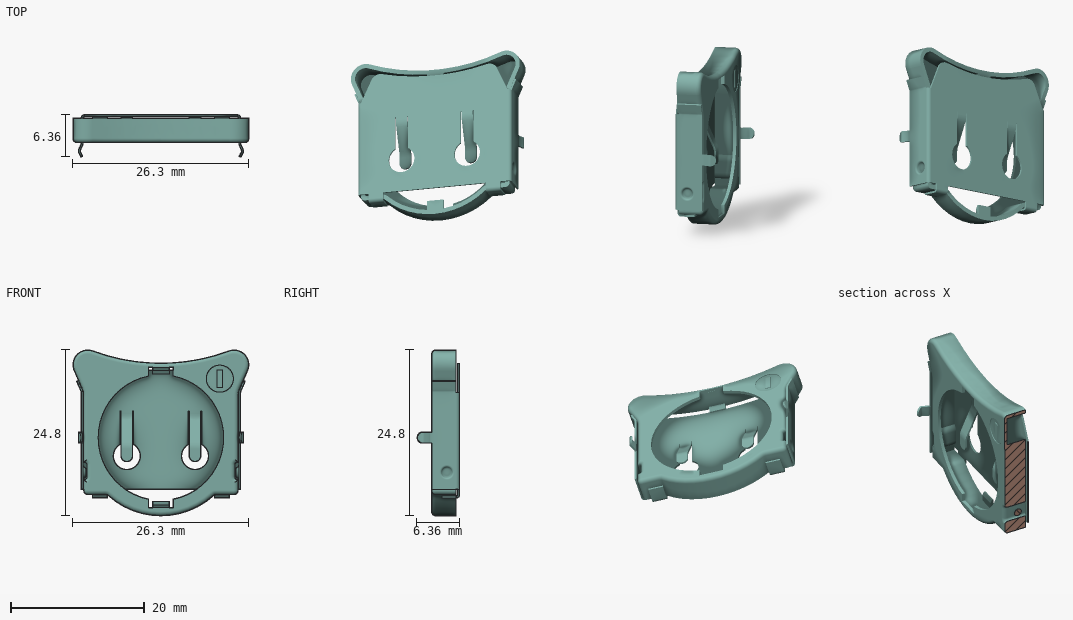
import cadquery as cq
import math


depth = 3.65
wall = 0.65
face_thickness = 0.5
edge_round = 0.6
half_width = 11.55
foot_z = -8.52
belly_radius = 11.7
saddle_z = 11.12
ear_half_span = 13.15
ear_top = 13.1
ear_radius = 2.2
ear_x = ear_half_span - ear_radius
ear_z = ear_top - ear_radius
ear_angle = 23.5
neck_radius = 3.0

cell_hole_radius = 9.39
window_width = 3.65
window_top = 10.5

hook_width = 2.5
hook_thickness = 0.5
hook_tip = 9.55
hook_bevel = 0.5
hook_land = 0.24

pocket_z = -5
pocket_height = 2.58
pocket_depth = 0.5
pocket_round = 0.4

badge_x = 8.8
badge_z = 8.8
badge_radius = 2.02
badge_depth = 0.1
bar_width = 0.81
bar_height = 2.58

sheet = 0.3
clip_gap = 0.24
clip_side = 11.94
side_bend = 0.37
clip_bottom = -7.73
clip_shoulder = 6.75

plate_saddle_z = 10.05
plate_ear_radius = 1.42
plate_ear_x = 8.5
plate_ear_z = 9.67

flare_angle = ear_angle
flare_start = 6.91
flare_top = 8.47
flare_bend = 0.58

pin_width = 1.65
pin_start = -0.24
pin_knee_x = 12.25
pin_knee_y = -1.25
pin_end_x = 11.83
pin_end_y = -2.1
pin_bend = 0.32

dimple_y = 2.31
dimple_z = -5.23
dimple_radius = 1.1
dimple_flat_radius = 0.5
dimple_depth = 0.42

finger_x = 5.1
finger_width = 1.75
finger_slot_width = 2.0
finger_root = 3.95
finger_upper_bend = 3.08
finger_lower_bend = -1.25
finger_tip = -3.6
finger_reach = 2.0
finger_bend = 2.0
finger_hole_z = -2.75
finger_hole_radius = 2.0

tip_flat = 0.005

tab_x = 9.12
tab_width = 2.23
tab_z = -8.89
tab_end = 1.58

plate_front = depth + clip_gap
plate_middle = plate_front + sheet / 2
plate_back = plate_front + sheet
side_middle = clip_side - sheet / 2


def front_plane(y):
    """Workplane facing -Y at the given Y: local axes are X and Z, and extruding goes towards -Y."""
    return cq.Workplane("XZ", origin=(0, y, 0))


def both_sides(body):
    """A body together with its mirror image on the other side of X = 0."""
    return body.union(body.mirror("YZ"))


def saddle_radius(bottom_z, x, z, radius):
    """Radius of the top arc through (0, bottom_z) that is tangent to an ear circle on each side."""
    drop = bottom_z - z
    return (x**2 + drop**2 - radius**2) / (2 * (radius - drop))


def polar(x, z, radius, angle):
    """Point on a circle, with the angle in degrees from +X."""
    turn = math.radians(angle)
    return (x + radius * math.cos(turn), z + radius * math.sin(turn))


def saddle_joint(bottom_z, x, z, radius):
    """Angle on the right ear circle at which the top arc joins it."""
    centre_z = bottom_z + saddle_radius(bottom_z, x, z, radius)
    return math.degrees(math.atan2(centre_z - z, -x))


def housing_outline(plane):
    """Right half of the outline from the saddle to the belly, mirrored to close it."""
    slope = math.radians(ear_angle)
    joint = saddle_joint(saddle_z, ear_x, ear_z, ear_radius)
    ear_end = polar(ear_x, ear_z, ear_radius, -ear_angle)
    neck_z = ear_end[1] - (ear_end[0] - half_width) / math.tan(slope)
    neck_length = neck_radius * math.tan(slope / 2)
    neck_centre = (half_width + neck_radius, neck_z - neck_length)
    neck_start = polar(*neck_centre, neck_radius, 180 - ear_angle)
    neck_middle = polar(*neck_centre, neck_radius, 180 - ear_angle / 2)

    hip_z = foot_z - edge_round
    hip_x = math.sqrt((belly_radius + edge_round) ** 2 - hip_z**2)
    hip_angle = math.degrees(math.atan2(-hip_z, -hip_x))
    hip_middle = polar(hip_x, hip_z, edge_round, (90 + hip_angle) / 2)
    hip_end = polar(hip_x, hip_z, edge_round, hip_angle)
    corner = (half_width - edge_round, foot_z + edge_round)

    saddle_centre = saddle_z + saddle_radius(saddle_z, ear_x, ear_z, ear_radius)
    saddle_middle = polar(0, saddle_centre, saddle_centre - saddle_z, -90 + (joint - 90) / 2)
    return (
        plane.moveTo(0, saddle_z)
        .threePointArc(saddle_middle, polar(ear_x, ear_z, ear_radius, joint))
        .threePointArc(polar(ear_x, ear_z, ear_radius, (joint - ear_angle) / 2), ear_end)
        .lineTo(*neck_start)
        .threePointArc(neck_middle, (half_width, neck_centre[1]))
        .lineTo(half_width, corner[1])
        .threePointArc(polar(*corner, edge_round, -45), (corner[0], foot_z))
        .lineTo(hip_x, foot_z)
        .threePointArc(hip_middle, hip_end)
        .threePointArc(polar(0, 0, belly_radius, (hip_angle - 180 - 90) / 2), (0, -belly_radius))
        .mirrorY()
    )


def pocket(inset):
    """Prism of one side pocket; a positive inset gives the surface that far inside the housing."""
    bottom_x = half_width - pocket_depth - inset
    width = 2 * pocket_depth + inset
    prism = (
        front_plane(depth)
        .center(bottom_x + width / 2, pocket_z)
        .rect(width, pocket_height + 2 * inset)
        .extrude(depth)
    )
    return prism.edges("|Y and <X").fillet(pocket_round + inset)


def pocket_cutter():
    """Space to remove for the right pocket, widening at the front so that its edge is rounded."""
    margin = 2 * edge_round
    length = pocket_depth + margin
    height = pocket_height + 2 * margin
    block = front_plane(depth).center(half_width - margin / 2, pocket_z).rect(length, height)
    block = block.extrude(depth)

    reach = edge_round / 2
    around_pocket = cq.selectors.BoxSelector(
        (half_width - pocket_depth - reach, -reach, pocket_z - pocket_height / 2 - reach),
        (half_width + pocket_depth, reach, pocket_z + pocket_height / 2 + reach),
    )
    notched = block.cut(pocket(0)).faces("<Y").edges(around_pocket).fillet(edge_round)
    return block.cut(notched)


def hook(root):
    """Upper snap hook at the open back, bevelled on its front and rooted at the given Z."""
    tip_y = depth - hook_land
    front_y = depth - hook_thickness
    return (
        cq.Workplane("YZ", origin=(-hook_width / 2, 0, 0))
        .polyline([
            (depth, root),
            (depth, hook_tip),
            (tip_y, hook_tip),
            (front_y, hook_tip + hook_bevel),
            (front_y, root),
        ])
        .close()
        .extrude(hook_width)
    )


def make_housing():
    body = housing_outline(front_plane(depth)).extrude(depth, clean=False)
    body = body.faces("<Y").edges().fillet(edge_round)
    body = body.cut(both_sides(pocket_cutter()), clean=False)

    cavity = housing_outline(front_plane(depth)).offset2D(-wall).extrude(depth - face_thickness)
    cavity = cavity.cut(both_sides(pocket(wall)), clean=False)
    body = body.cut(cavity, clean=False)

    cell_hole = front_plane(face_thickness).circle(cell_hole_radius).extrude(face_thickness)
    windows = front_plane(face_thickness).rect(window_width, 2 * window_top).extrude(face_thickness)
    body = body.cut(cell_hole.union(windows), clean=False)

    badge = front_plane(badge_depth).center(badge_x, badge_z)
    badge = badge.circle(badge_radius).rect(bar_width, bar_height).extrude(badge_depth)
    body = body.cut(badge, clean=False)

    upper_hook = hook(saddle_z - wall / 2)
    lower_hook = hook(belly_radius - wall / 2).mirror("XY")
    return body.union(upper_hook, clean=False).union(lower_hook, clean=False)


def bent_strip(points, bend, width):
    """Sheet strip whose middle line follows the points, with rounded bends; its width is centred."""
    path = cq.Wire.makePolygon(points).fillet(bend)
    start = points[0]
    along = points[1] - start
    across = along.cross(points[2] - points[1])
    section = cq.Workplane(cq.Plane(origin=start, xDir=across, normal=along))
    return section.rect(width, sheet).sweep(cq.Workplane(path))


def side_walls():
    """Back plate and both side walls, as one U-shaped strip."""
    middle_z = (clip_bottom + clip_shoulder) / 2
    points = [
        cq.Vector(side_middle, 0, middle_z),
        cq.Vector(side_middle, plate_middle, middle_z),
        cq.Vector(-side_middle, plate_middle, middle_z),
        cq.Vector(-side_middle, 0, middle_z),
    ]
    return bent_strip(points, side_bend, clip_shoulder - clip_bottom)


def plate_top():
    """Upper part of the back plate, with an ear on each side."""
    joint = saddle_joint(plate_saddle_z, plate_ear_x, plate_ear_z, plate_ear_radius)
    ear = (plate_ear_x, plate_ear_z, plate_ear_radius)
    arc_radius = saddle_radius(plate_saddle_z, *ear)
    arc_middle = polar(0, plate_saddle_z + arc_radius, arc_radius, -90 + (joint - 90) / 2)
    return (
        front_plane(plate_back)
        .moveTo(0, plate_saddle_z)
        .threePointArc(arc_middle, polar(*ear, joint))
        .threePointArc(polar(*ear, (joint + ear_angle) / 2), polar(*ear, ear_angle))
        .lineTo(clip_side - side_bend - sheet / 2, clip_shoulder)
        .lineTo(0, clip_shoulder)
        .mirrorY()
        .extrude(sheet)
    )


def flare():
    """Lead-in at the top of the right side wall, leaning outwards."""
    rise = flare_top - flare_start
    lean = rise * math.tan(math.radians(flare_angle))
    points = [
        cq.Vector(side_middle, depth / 2, clip_bottom),
        cq.Vector(side_middle, depth / 2, flare_start),
        cq.Vector(side_middle + lean, depth / 2, flare_top),
    ]
    return bent_strip(points, flare_bend, depth)


def pin():
    """Right terminal pin in front of the side wall, bent out and back, with a round end."""
    points = [
        cq.Vector(side_middle, depth / 2, 0),
        cq.Vector(side_middle, pin_start, 0),
        cq.Vector(pin_knee_x, pin_knee_y, 0),
        cq.Vector(pin_end_x, pin_end_y, 0),
    ]
    strip = bent_strip(points, pin_bend, pin_width)
    return strip.faces("<Y").edges("not |Z").fillet((pin_width - tip_flat) / 2)


def dimple_bump(base_x):
    """Round bump with an S-shaped flank, standing on a base plane and pointing towards -X."""
    middle = ((dimple_flat_radius + dimple_radius) / 2, dimple_depth / 2)
    base = cq.Plane(origin=(base_x, dimple_y, dimple_z), xDir=(0, 0, 1), normal=(0, -1, 0))
    return (
        cq.Workplane(base)
        .moveTo(0, dimple_depth)
        .lineTo(dimple_flat_radius, dimple_depth)
        .tangentArcPoint(middle, relative=False)
        .tangentArcPoint((dimple_radius, 0), relative=False)
        .lineTo(0, 0)
        .close()
        .revolve(360, (0, 0, 0), (0, 1, 0))
    )


def finger():
    """Right contact finger, bent forwards from the plate, with a round tip."""
    points = [
        cq.Vector(finger_x, plate_middle, finger_root),
        cq.Vector(finger_x, plate_middle, finger_upper_bend),
        cq.Vector(finger_x, plate_middle - finger_reach, finger_lower_bend),
        cq.Vector(finger_x, plate_middle - finger_reach, finger_tip),
    ]
    strip = bent_strip(points, finger_bend, finger_width)
    return strip.faces("<Z").edges("|Y").fillet((finger_width - tip_flat) / 2)


def finger_opening():
    """Slot and round hole in the plate around the right finger."""
    slot_height = finger_root - finger_hole_z
    slot = (
        front_plane(plate_back)
        .center(finger_x, finger_root - slot_height / 2)
        .rect(finger_slot_width, slot_height)
        .extrude(sheet)
    )
    hole = front_plane(plate_back).center(finger_x, finger_hole_z).circle(finger_hole_radius)
    return slot.union(hole.extrude(sheet))


def tab():
    """Right tab, bent from the lower edge of the plate to reach under the housing."""
    points = [
        cq.Vector(tab_x, plate_middle, clip_bottom + sheet),
        cq.Vector(tab_x, plate_middle, tab_z),
        cq.Vector(tab_x, tab_end, tab_z),
    ]
    return bent_strip(points, side_bend, tab_width)


def make_clip():
    body = side_walls().union(plate_top())
    body = body.cut(both_sides(finger_opening()))
    inner_side = clip_side - sheet
    for part in (finger(), tab(), flare(), pin(), dimple_bump(inner_side)):
        body = body.union(both_sides(part))
    return body.cut(both_sides(dimple_bump(clip_side)))


housing = make_housing()
clip = make_clip()
result = cq.Compound.makeCompound([housing.val(), clip.val()])